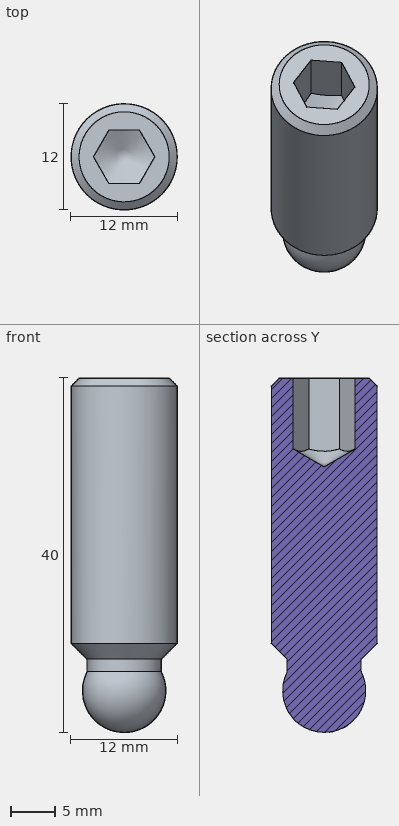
import cadquery as cq
import math

length = 40.0
body_radius = 6.0
rim_chamfer = 0.9
neck_radius = 4.2
neck_top = 8.3
ball_radius = 4.7
hex_across_flats = 6.0
hex_depth = 8.0
socket_cone_angle = 60.0

shoulder_top = neck_top + body_radius - neck_radius
ball_top = ball_radius + math.sqrt(ball_radius**2 - neck_radius**2)
hex_across_corners = hex_across_flats / math.cos(math.pi / 6)
hex_corner_radius = hex_across_corners / 2
socket_cone_height = hex_corner_radius / math.tan(math.radians(socket_cone_angle))


def make_body():
    """Turned pin: ball end, neck, shoulder and chamfered cylinder."""
    return (
        cq.Workplane("XZ")
        .moveTo(0, 0)
        .threePointArc((ball_radius, ball_radius), (neck_radius, ball_top))
        .lineTo(neck_radius, neck_top)
        .lineTo(body_radius, shoulder_top)
        .lineTo(body_radius, length - rim_chamfer)
        .lineTo(body_radius - rim_chamfer, length)
        .lineTo(0, length)
        .close()
        .revolve(360, (0, 0, 0), (0, 1, 0))
    )


def make_socket():
    """Hexagonal key socket, with two corners on the X axis and a conical floor."""
    total_depth = hex_depth + socket_cone_height
    prism = (
        cq.Workplane("XY")
        .workplane(offset=length - total_depth)
        .polygon(6, hex_across_corners)
        .extrude(total_depth)
    )
    drill_envelope = (
        cq.Workplane("XZ")
        .moveTo(0, length - total_depth)
        .lineTo(hex_corner_radius, length - hex_depth)
        .lineTo(hex_corner_radius, length)
        .lineTo(0, length)
        .close()
        .revolve(360, (0, 0, 0), (0, 1, 0))
    )
    return prism.intersect(drill_envelope)


result = make_body().cut(make_socket())